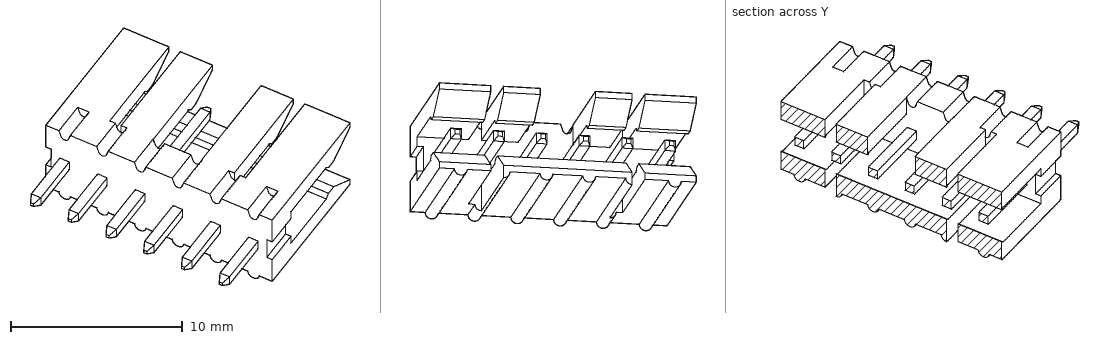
import cadquery as cq

pin_count = 6
body_width = 15.24
body_height = 5.18
body_depth = 9.05
block_depth = 2.18
pitch = body_width / pin_count
pin_positions = [(i - (pin_count - 1) / 2) * pitch for i in range(pin_count)]

jaw_tip_thickness = 0.38
jaw_bump_thickness = 1.51
jaw_arm_thickness = 1.26
bump_outer_y = 7.15
bump_inner_y = 6.54
arm_end_y = 6.28

slot_width = 0.76
slot_outer_x = 1.5 * pitch + slot_width
window_width = 3.26

end_notch_depth = 0.37
end_notch_height = 1.5

groove_width = 0.76
groove_wall_depth = 0.38
groove_floor_width = 0.5
groove_depth = 0.58
rib_width = 0.76
rib_height = 0.37

pin_size = 0.64
contact_tip_size = 0.27
contact_tip_length = 0.43
tail_tip_size = 0.21
tail_tip_length = 0.47
pin_tail_length = 3.8
pin_contact_y = 8.0

top_z = body_height / 2
bottom_z = -top_z
cut_overrun = 0.15


def extrude_along_y(profile, start_y, end_y):
    """Extrude a closed profile, drawn on an XZ workplane at start_y, up to end_y."""
    return profile.extrude(start_y - end_y)


def xz_plane(y):
    """Workplane across the part at depth y, facing the pin tails."""
    return cq.Workplane("XZ", origin=(0, y, 0))


def make_body():
    """Side profile of the block and both jaws, extruded over the full width."""
    jaw_inside = [
        (body_depth, top_z - jaw_tip_thickness),
        (bump_outer_y, top_z - jaw_bump_thickness),
        (bump_inner_y, top_z - jaw_bump_thickness),
        (arm_end_y, top_z - jaw_arm_thickness),
        (block_depth, top_z - jaw_arm_thickness),
    ]
    lower_jaw_inside = [(y, -z) for y, z in reversed(jaw_inside)]
    outline = [(0, bottom_z), (0, top_z), (body_depth, top_z)]
    outline += jaw_inside + lower_jaw_inside + [(body_depth, bottom_z)]
    return cq.Workplane("YZ").polyline(outline).close().extrude(body_width / 2, both=True)


def make_rib(x):
    """Rounded rib along the underside."""
    profile = (
        xz_plane(0)
        .moveTo(x - rib_width / 2, bottom_z)
        .threePointArc((x, bottom_z - rib_height), (x + rib_width / 2, bottom_z))
        .close()
    )
    return extrude_along_y(profile, 0, body_depth)


def make_groove(x):
    """Groove with tapered walls and a rounded floor, cut in the top of the block."""
    wall_foot_z = top_z - groove_wall_depth
    profile = (
        xz_plane(0)
        .moveTo(x - groove_width / 2, top_z)
        .lineTo(x - groove_floor_width / 2, wall_foot_z)
        .threePointArc((x, top_z - groove_depth), (x + groove_floor_width / 2, wall_foot_z))
        .lineTo(x + groove_width / 2, top_z)
        .close()
    )
    return extrude_along_y(profile, 0, block_depth)


def make_end_notch(side):
    """Notch through the length of the block at one end of the pin row."""
    profile = xz_plane(0).center(side * body_width / 2, 0).rect(2 * end_notch_depth, end_notch_height)
    return extrude_along_y(profile, 0, block_depth)


def make_side_slot(side):
    """Slot through both jaws, reaching from the outer side in to the second pin from the end."""
    slot_center_x = side * (slot_outer_x - slot_width / 2)
    slot_height = body_height + 2 * (rib_height + cut_overrun)
    profile = xz_plane(block_depth).center(slot_center_x, 0).rect(slot_width, slot_height)
    return extrude_along_y(profile, block_depth, body_depth + cut_overrun)


def make_window():
    """Wide opening in the middle of the upper jaw."""
    profile = xz_plane(block_depth).center(0, top_z / 2).rect(window_width, top_z)
    return extrude_along_y(profile, block_depth, body_depth + cut_overrun)


def make_pin(x):
    """Square pin with a tapered point at both ends."""

    def square(y, size):
        return xz_plane(y).center(x, 0).rect(size, size)

    shank_start_y = tail_tip_length - pin_tail_length
    shank_end_y = pin_contact_y - contact_tip_length
    shank = extrude_along_y(square(shank_start_y, pin_size), shank_start_y, shank_end_y)
    tail_tip = (
        square(shank_start_y, pin_size)
        .workplane(offset=tail_tip_length)
        .rect(tail_tip_size, tail_tip_size)
        .loft()
    )
    contact_tip = (
        square(shank_end_y, pin_size)
        .workplane(offset=-contact_tip_length)
        .rect(contact_tip_size, contact_tip_size)
        .loft()
    )
    return shank.union(tail_tip).union(contact_tip)


result = make_body()
for pin_x in pin_positions:
    result = result.union(make_rib(pin_x)).cut(make_groove(pin_x))

for end in (-1, 1):
    result = result.cut(make_end_notch(end)).cut(make_side_slot(end))
result = result.cut(make_window())

for pin_x in pin_positions:
    result = result.union(make_pin(pin_x))